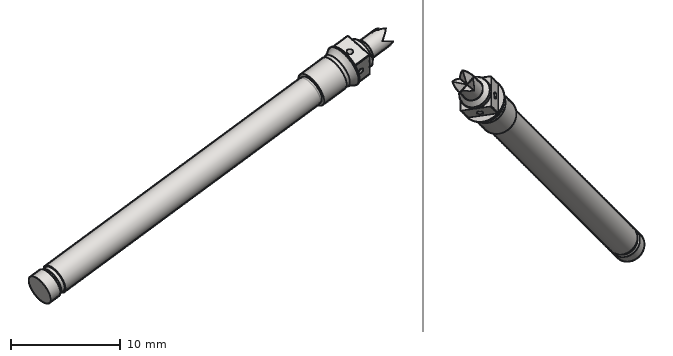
import math

import cadquery as cq

OVERALL_LENGTH = 43.1
TIP_Y = 5.2
TAIL_Y = TIP_Y - OVERALL_LENGTH

PLUNGER_RADIUS = 1.0
CROWN_DEPTH = 1.1
NOTCH_COUNT = 2
FIRST_NOTCH_ANGLE = 45

HEAD_RADIUS = 1.5
NOSE_LENGTH = 0.46
NOSE_FRONT_Y = 2.65
NOSE_FRONT_RADIUS = 1.03
NOSE_REAR_Y = NOSE_FRONT_Y - NOSE_LENGTH
BLOCK_WIDTH = 2 * HEAD_RADIUS
BLOCK_FRONT_Y = 1.8
BLOCK_CORNER_RADIUS = 2.09

DIMPLE_RADIUS = 0.3
DIMPLE_DEPTH = 0.3
DIMPLE_Y = 0.7
DIMPLE_COUNT = 4

FLANGE_RADIUS = 2.1
RIM_THICKNESS = 0.15
COLLAR_RADIUS = 1.75
FLARE_REAR_Y = -0.9
FLARE_SAG = 0.05
GROOVE_RADIUS = 1.68
COLLAR_FRONT_Y = -1.3
COLLAR_REAR_Y = -4.1

TUBE_RADIUS = HEAD_RADIUS
RELIEF_RADIUS = 1.45
RELIEF_REAR_Y = -4.35
CRIMP_RADIUS = 1.37
CRIMP_FRONT_Y = TAIL_Y + 1.85
CRIMP_FLOOR_REAR_Y = TAIL_Y + 1.45
CRIMP_REAR_Y = TAIL_Y + 1.2


def revolved(profile):
    """Turn a half-profile, drawn with radius along X and station along Y, about the Y axis."""
    return profile.close().revolve(360, (0, 0, 0), (0, 1, 0))


def body():
    """Turned body from the flange's front face to the tail."""
    flare_middle = (
        (FLANGE_RADIUS + COLLAR_RADIUS) / 2 - FLARE_SAG,
        (FLARE_REAR_Y - RIM_THICKNESS) / 2,
    )
    groove_bottom = (GROOVE_RADIUS, (FLARE_REAR_Y + COLLAR_FRONT_Y) / 2)
    return revolved(
        cq.Workplane("XY")
        .moveTo(0, 0)
        .lineTo(FLANGE_RADIUS, 0)
        .lineTo(FLANGE_RADIUS, -RIM_THICKNESS)
        .threePointArc(flare_middle, (COLLAR_RADIUS, FLARE_REAR_Y))
        .threePointArc(groove_bottom, (COLLAR_RADIUS, COLLAR_FRONT_Y))
        .lineTo(COLLAR_RADIUS, COLLAR_REAR_Y)
        .lineTo(RELIEF_RADIUS, COLLAR_REAR_Y)
        .lineTo(TUBE_RADIUS, RELIEF_REAR_Y)
        .lineTo(TUBE_RADIUS, CRIMP_FRONT_Y)
        .lineTo(CRIMP_RADIUS, CRIMP_FRONT_Y)
        .lineTo(CRIMP_RADIUS, CRIMP_FLOOR_REAR_Y)
        .lineTo(TUBE_RADIUS, CRIMP_REAR_Y)
        .lineTo(TUBE_RADIUS, TAIL_Y)
        .lineTo(0, TAIL_Y)
    )


def head():
    """Square block with a round, cone-ended nose and a dimple in each side face."""
    nose = revolved(
        cq.Workplane("XY")
        .moveTo(0, 0)
        .lineTo(HEAD_RADIUS, 0)
        .lineTo(HEAD_RADIUS, NOSE_REAR_Y)
        .lineTo(NOSE_FRONT_RADIUS, NOSE_FRONT_Y)
        .lineTo(0, NOSE_FRONT_Y)
    )
    block = cq.Workplane("XY").box(BLOCK_WIDTH, BLOCK_FRONT_Y, BLOCK_WIDTH)
    corner_trim = cq.Workplane("XZ").circle(BLOCK_CORNER_RADIUS).extrude(BLOCK_FRONT_Y, both=True)
    block = block.intersect(corner_trim).translate((0, BLOCK_FRONT_Y / 2, 0))
    solid = nose.union(block)
    dimple = cq.Workplane(
        cq.Solid.makeCone(
            DIMPLE_RADIUS,
            0,
            DIMPLE_DEPTH,
            pnt=cq.Vector(0, DIMPLE_Y, BLOCK_WIDTH / 2),
            dir=cq.Vector(0, 0, -1),
        )
    )
    for index in range(DIMPLE_COUNT):
        solid = solid.cut(dimple.rotate((0, 0, 0), (0, 1, 0), index * 360 / DIMPLE_COUNT))
    return solid


def plunger():
    """Round plunger whose end is cut into four points by two crossing V-notches."""
    rod = revolved(
        cq.Workplane("XY")
        .moveTo(0, 0)
        .lineTo(PLUNGER_RADIUS, 0)
        .lineTo(PLUNGER_RADIUS, TIP_Y)
        .lineTo(0, TIP_Y)
    )
    point_offset = PLUNGER_RADIUS * math.sin(math.radians(FIRST_NOTCH_ANGLE))
    notch_top_y = TIP_Y + CROWN_DEPTH
    notch = (
        cq.Workplane("XY")
        .moveTo(0, TIP_Y - CROWN_DEPTH)
        .lineTo(2 * point_offset, notch_top_y)
        .lineTo(-2 * point_offset, notch_top_y)
        .close()
        .extrude(2 * PLUNGER_RADIUS, both=True)
    )
    for index in range(NOTCH_COUNT):
        angle = FIRST_NOTCH_ANGLE + index * 180 / NOTCH_COUNT
        rod = rod.cut(notch.rotate((0, 0, 0), (0, 1, 0), angle))
    return rod


result = body().union(head()).union(plunger())